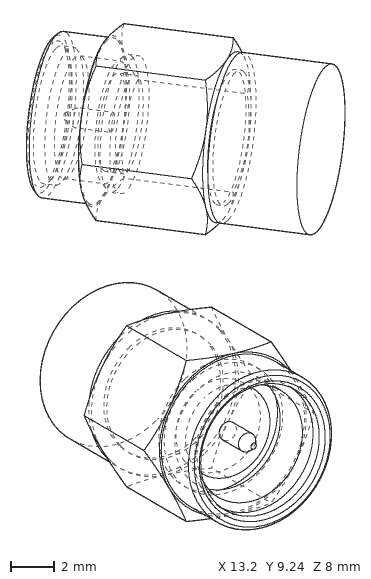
import cadquery as cq
import math

sleeve_length = 2.6
nut_length = 6.0
neck_length = 0.25
barrel_length = 4.3

sleeve_radius = 3.9
sleeve_chamfer = 0.2
nut_sides = 6
nut_across_flats = 8.0
nut_bevel_angle = 30.0
neck_radius = 3.175
barrel_radius = 4.0

mouth_radius = 3.43
recess_radius = 3.23
recess_end = 0.75
bore_radius = 2.87
bore_end = 3.07
socket_depth = 3.9

boss_radius = 2.3
boss_face_x = 3.05

pin_radius = 0.47
pin_tip_radius = 0.15
pin_cone_length = 0.57
pin_tip_x = 0.77

nut_start = sleeve_length
nut_end = nut_start + nut_length
barrel_start = nut_end + neck_length
total_length = barrel_start + barrel_length


def cylinder(radius, start, end):
    return cq.Workplane("YZ", origin=(start, 0, 0)).circle(radius).extrude(end - start)


def revolve_profile(points):
    """Revolve a closed (x, radius) outline about the X axis."""
    return cq.Workplane("XY").polyline(points).close().revolve(360, (0, 0, 0), (1, 0, 0))


def make_sleeve():
    return cylinder(sleeve_radius, 0, nut_start).faces("<X").chamfer(sleeve_chamfer)


def make_nut():
    """Hexagon with corners along Y, bevelled at both ends down to the inscribed circle."""
    flat_radius = nut_across_flats / 2
    corner_radius = flat_radius / math.cos(math.pi / nut_sides)
    bevel_length = (corner_radius - flat_radius) * math.tan(math.radians(nut_bevel_angle))
    hexagon = (
        cq.Workplane("YZ", origin=(nut_start, 0, 0))
        .polygon(nut_sides, 2 * corner_radius)
        .extrude(nut_length)
    )
    bevel_envelope = revolve_profile([
        (nut_start, 0),
        (nut_start, flat_radius),
        (nut_start + bevel_length, corner_radius),
        (nut_end - bevel_length, corner_radius),
        (nut_end, flat_radius),
        (nut_end, 0),
    ])
    return hexagon.intersect(bevel_envelope)


def make_socket():
    """Cavity: coned mouth, recess, narrower bore with 45 degree cones at both ends, and a relief
    as wide as the recess behind it."""
    mouth_cone_end = mouth_radius - recess_radius
    bore_cone_length = recess_radius - bore_radius
    bore_start = recess_end + bore_cone_length
    relief_start = bore_end + bore_cone_length
    return revolve_profile([
        (0, 0),
        (0, mouth_radius),
        (mouth_cone_end, recess_radius),
        (recess_end, recess_radius),
        (bore_start, bore_radius),
        (bore_end, bore_radius),
        (relief_start, recess_radius),
        (socket_depth, recess_radius),
        (socket_depth, 0),
    ])


def make_pin():
    """Contact pin with a blunt conical tip, rooted in the material behind the socket floor."""
    return revolve_profile([
        (pin_tip_x, 0),
        (pin_tip_x, pin_tip_radius),
        (pin_tip_x + pin_cone_length, pin_radius),
        (nut_end, pin_radius),
        (nut_end, 0),
    ])


boss = cylinder(boss_radius, boss_face_x, nut_end)
neck = cylinder(neck_radius, nut_end, barrel_start)
barrel = cylinder(barrel_radius, barrel_start, total_length)
body = make_sleeve().union(make_nut()).union(neck).union(barrel)
result = body.cut(make_socket()).union(boss).union(make_pin())